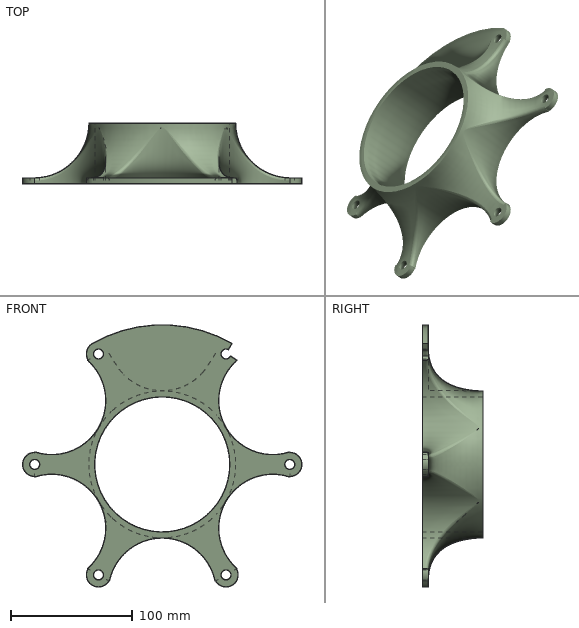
import cadquery as cq
import math

height = 50.0
plate_thickness = 5.0
bore_radius = 55.5
wall_thickness = 5.0
bolt_circle_radius = 105.0
boss_radius = 10.0
bolt_hole_radius = 4.0
edge_fillet = 2.5
arm_count = 6

arm_pitch = 360.0 / arm_count
arm_angles = [index * arm_pitch for index in range(arm_count)]
sector_start, sector_end = arm_angles[1:3]
rim_radius = bolt_circle_radius + boss_radius
collar_radius = bore_radius + wall_thickness
flare_radius = height - plate_thickness
flare_end_radius = collar_radius + flare_radius
scallop_radius = 2 * bolt_circle_radius * math.sin(math.radians(arm_pitch / 4)) - boss_radius


def polar(radius, angle):
    """X and Z of a point at a radius and an angle in degrees from +X."""
    return radius * math.cos(math.radians(angle)), radius * math.sin(math.radians(angle))


def cylinders(radius, angles):
    """Full-height cylinders along Y, centred on the bolt circle at the given angles."""
    centres = [polar(bolt_circle_radius, angle) for angle in angles]
    return cq.Workplane("XZ").pushPoints(centres).circle(radius).extrude(-height)


def flare():
    """Bored solid of revolution: a quarter-circle flare from the collar down to the plate."""
    arc_inset = flare_radius * math.sqrt(0.5)
    return (
        cq.Workplane("XY")
        .moveTo(bore_radius, 0)
        .lineTo(flare_end_radius, 0)
        .lineTo(flare_end_radius, plate_thickness)
        .threePointArc((flare_end_radius - arc_inset, height - arc_inset), (collar_radius, height))
        .lineTo(bore_radius, height)
        .close()
        .revolve(360, (0, 0, 0), (0, 1, 0))
    )


def scallop_edges(body):
    """Curved edges where the scallops meet the flare: they span most of the height."""
    edges = []
    for edge in body.edges().vals():
        box = edge.BoundingBox()
        on_flare = box.ymin > plate_thickness / 2 and box.ymax < height - edge_fillet
        if on_flare and box.ylen > height / 2:
            edges.append(edge)
    return edges


def scalloped_flare():
    """Flare cut into arms by the scallops, with the flare edges rounded."""
    scallop_angles = [angle + arm_pitch / 2 for angle in arm_angles]
    body = flare().cut(cylinders(scallop_radius, scallop_angles))
    return body.newObject(scallop_edges(body)).fillet(edge_fillet)


def boss(angle):
    """Outer half of a round arm end, at the plate thickness."""
    centre_x, centre_z = polar(bolt_circle_radius, angle)
    side_x, side_z = polar(boss_radius, angle + 90)
    return (
        cq.Workplane("XZ")
        .moveTo(centre_x - side_x, centre_z - side_z)
        .threePointArc(polar(rim_radius, angle), (centre_x + side_x, centre_z + side_z))
        .close()
        .extrude(-plate_thickness)
    )


def sector():
    """Flat plate filling the gap between two arms, from inside the collar wall to the rim."""
    inner_radius = bore_radius + wall_thickness / 2
    middle = (sector_start + sector_end) / 2
    return (
        cq.Workplane("XZ")
        .moveTo(*polar(inner_radius, sector_start))
        .lineTo(*polar(rim_radius, sector_start))
        .threePointArc(polar(rim_radius, middle), polar(rim_radius, sector_end))
        .lineTo(*polar(inner_radius, sector_end))
        .threePointArc(polar(inner_radius, middle), polar(inner_radius, sector_start))
        .close()
        .extrude(-plate_thickness)
    )


additions = [boss(angle).val() for angle in arm_angles]
flange = scalloped_flare().val().fuse(*additions).fuse(sector().val())

result = cq.Workplane("XY").newObject([flange]).cut(cylinders(bolt_hole_radius, arm_angles))